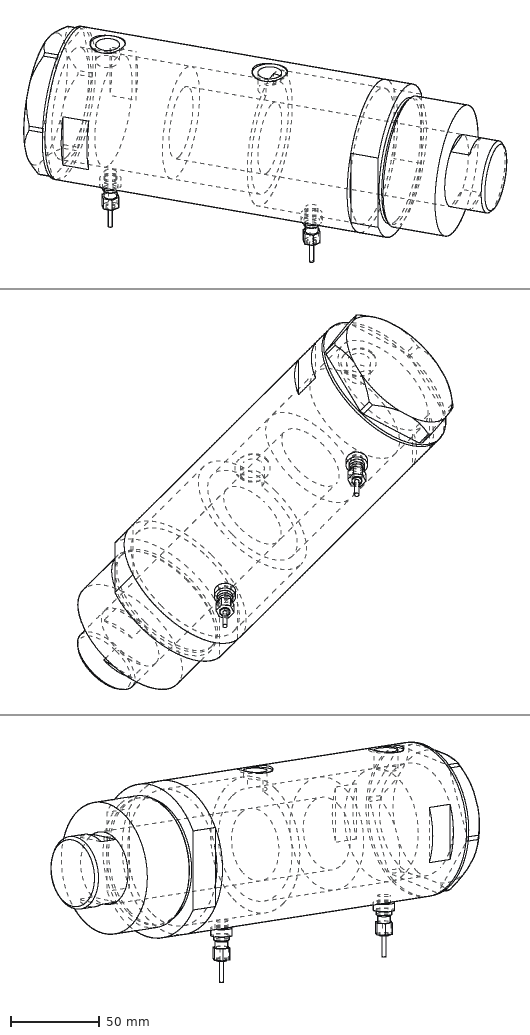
import cadquery as cq
import math


SIDEWAYS = cq.Vector(0, 1, 0)
UPRIGHT = cq.Vector(0, 0, 1)
HEX_SIDES = 6

BODY_RADIUS = 44.05
BORE_RADIUS = 32.3
NOSE_RADIUS = 37.7
GLAND_SPIGOT_RADIUS = 39.0
ROD_RADIUS = 20.7
HALF_ACROSS_FLATS = NOSE_RADIUS

CAP_COLLAR_X = 13.2
BARREL_X = 14.8
STROKE_STOP_X = 40.7
GLAND_SPIGOT_X = 134.2
FLANGE_X = 195.6
RELIEF_X = 212.0
NOSE_X = 215.0
NOSE_END_X = 246.0
ROD_END_X = 269.5

CAP_TURNED_RADIUS = 42.8
CAP_FACE_RADIUS = 38.0
CAP_TILT = 7.2

BARREL_FLAT_X = 24.5
BARREL_FLAT_LENGTH = 15.4
BARREL_FLAT_DEPTH = 3.0
PORT_XS = (37.2, GLAND_SPIGOT_X)
PORT_RADIUS = 6.7
SPOTFACE_RADIUS = 10.0
SPOTFACE_DEPTH = 1.2

RELIEF_RADIUS = 36.5

PISTON_LENGTH = 40.5
ROD_FLAT_END_X = 257.0
ROD_HALF_ACROSS_FLATS = 18.0
ROD_CHAMFER = 1.5

SENSOR_XS = (38.8, 159.3)
SHANK_RADIUS = 3.65
SHANK_DEPTH = 3.2
WASHER_RADIUS = 6.05
WASHER_TOP = 0.8
WASHER_BOTTOM = 5.0
SHOULDER_RADIUS = 4.45
SHOULDER_BOTTOM = 7.5
SHOULDER_CHAMFER = 0.8
NUT_TOP = 12.0
NUT_BOTTOM = 18.9
NUT_ACROSS_FLATS = 9.0
FERRULE_RADIUS = 2.83
FERRULE_BOTTOM = 19.7
CABLE_RADIUS = 1.2
CABLE_BOTTOM = 32.0


def bar_along_x(start, end, radius):
    """Solid cylinder on the X axis between two stations."""
    return cq.Workplane("YZ").workplane(offset=start).circle(radius).extrude(end - start)


def bar_down(x, top, bottom, radius):
    """Vertical cylinder under the barrel, from one depth below its surface to another."""
    return (
        cq.Workplane("XY", origin=(x, 0, -BODY_RADIUS - top))
        .circle(radius)
        .extrude(top - bottom)
    )


def flat_trimmers(start, end, half_width, side_direction):
    """Two blocks that trim a round bar to a pair of flats facing both ways along a direction."""
    size = 2 * BODY_RADIUS
    block = cq.Workplane("XY").box(end - start, size, size)
    block = block.translate(((start + end) / 2, 0, 0))
    shift = side_direction * (half_width + size / 2)
    return block.translate(shift).union(block.translate(-shift))


def hexagon_diameter(across_flats):
    """Corner-to-corner diameter of a regular hexagon."""
    return across_flats / math.cos(math.pi / HEX_SIDES)


def make_cap():
    """Hexagonal end cap with turned corners, a collar, and a spigot that fills the bore end."""
    hexagon = (
        cq.Workplane("YZ")
        .polygon(HEX_SIDES, hexagon_diameter(2 * HALF_ACROSS_FLATS))
        .extrude(CAP_COLLAR_X)
        .rotate((0, 0, 0), (1, 0, 0), -CAP_TILT)
    )
    chamfer = CAP_TURNED_RADIUS - CAP_FACE_RADIUS
    turned = bar_along_x(0, CAP_COLLAR_X, CAP_TURNED_RADIUS).faces("<X").chamfer(chamfer)
    collar = bar_along_x(CAP_COLLAR_X, BARREL_X, BODY_RADIUS)
    spigot = bar_along_x(BARREL_X, STROKE_STOP_X, BORE_RADIUS)
    return hexagon.intersect(turned).union(collar).union(spigot)


def make_barrel():
    """Tube with a wider bore for the gland, two wrench flats, two ports and the sensor holes."""
    barrel = bar_along_x(BARREL_X, FLANGE_X, BODY_RADIUS)
    barrel = barrel.cut(bar_along_x(BARREL_X, FLANGE_X, BORE_RADIUS))
    barrel = barrel.cut(bar_along_x(GLAND_SPIGOT_X, FLANGE_X, GLAND_SPIGOT_RADIUS))

    flat_end = BARREL_FLAT_X + BARREL_FLAT_LENGTH
    flat_half_width = BODY_RADIUS - BARREL_FLAT_DEPTH
    barrel = barrel.cut(flat_trimmers(BARREL_FLAT_X, flat_end, flat_half_width, SIDEWAYS))

    for x in PORT_XS:
        port = cq.Workplane("XY", origin=(x, 0, 0)).circle(PORT_RADIUS).extrude(BODY_RADIUS)
        spotface = (
            cq.Workplane("XY", origin=(x, 0, BODY_RADIUS - SPOTFACE_DEPTH))
            .circle(SPOTFACE_RADIUS)
            .extrude(SPOTFACE_DEPTH)
        )
        barrel = barrel.cut(port).cut(spotface)

    for x in SENSOR_XS:
        barrel = barrel.cut(bar_down(x, -SHANK_DEPTH, WASHER_TOP, SHANK_RADIUS))
    return barrel


def make_gland():
    """Rod guide: spigot inside the barrel, flange with wrench flats, relief groove and nose."""
    flange = bar_along_x(FLANGE_X, RELIEF_X, BODY_RADIUS)
    flange = flange.cut(flat_trimmers(FLANGE_X, RELIEF_X, HALF_ACROSS_FLATS, SIDEWAYS))
    spigot = bar_along_x(GLAND_SPIGOT_X, FLANGE_X, GLAND_SPIGOT_RADIUS)

    nose_chamfer = NOSE_RADIUS - RELIEF_RADIUS
    chamfer_x = NOSE_X - nose_chamfer
    relief = bar_along_x(RELIEF_X, chamfer_x, RELIEF_RADIUS)
    nose = bar_along_x(chamfer_x, NOSE_END_X, NOSE_RADIUS).faces("<X").chamfer(nose_chamfer)

    rod_hole = bar_along_x(GLAND_SPIGOT_X, NOSE_END_X, ROD_RADIUS)
    return flange.union(spigot).union(relief).union(nose).cut(rod_hole)


def make_piston_rod():
    """Piston resting on the cap spigot, and the rod with two wrench flats outside the gland."""
    rod = bar_along_x(STROKE_STOP_X, ROD_END_X, ROD_RADIUS).faces(">X").chamfer(ROD_CHAMFER)
    rod = rod.cut(flat_trimmers(NOSE_END_X, ROD_FLAT_END_X, ROD_HALF_ACROSS_FLATS, UPRIGHT))
    piston = bar_along_x(STROKE_STOP_X, STROKE_STOP_X + PISTON_LENGTH, BORE_RADIUS)
    return rod.union(piston)


def make_sensor(x):
    """Position sensor screwed into the underside of the barrel, with its cable hanging down."""
    shank = bar_down(x, -SHANK_DEPTH, NUT_TOP, SHANK_RADIUS)
    washer = bar_down(x, WASHER_TOP, WASHER_BOTTOM, WASHER_RADIUS)
    shoulder = bar_down(x, WASHER_BOTTOM, SHOULDER_BOTTOM + SHOULDER_CHAMFER, SHOULDER_RADIUS)
    shoulder = shoulder.faces("<Z").chamfer(SHOULDER_CHAMFER)
    nut = (
        cq.Workplane("XY", origin=(x, 0, -BODY_RADIUS - NUT_TOP))
        .polygon(HEX_SIDES, hexagon_diameter(NUT_ACROSS_FLATS))
        .extrude(NUT_TOP - NUT_BOTTOM)
    )
    ferrule = bar_down(x, NUT_BOTTOM, FERRULE_BOTTOM, FERRULE_RADIUS)
    cable = bar_down(x, FERRULE_BOTTOM, CABLE_BOTTOM, CABLE_RADIUS)
    return shank.union(washer).union(shoulder).union(nut).union(ferrule).union(cable)


cap = make_cap()
barrel = make_barrel()
gland = make_gland()
piston_rod = make_piston_rod()
sensors = [make_sensor(x) for x in SENSOR_XS]

result = cq.Compound.makeCompound(
    [cap.val(), barrel.val(), gland.val(), piston_rod.val(), *[sensor.val() for sensor in sensors]]
)